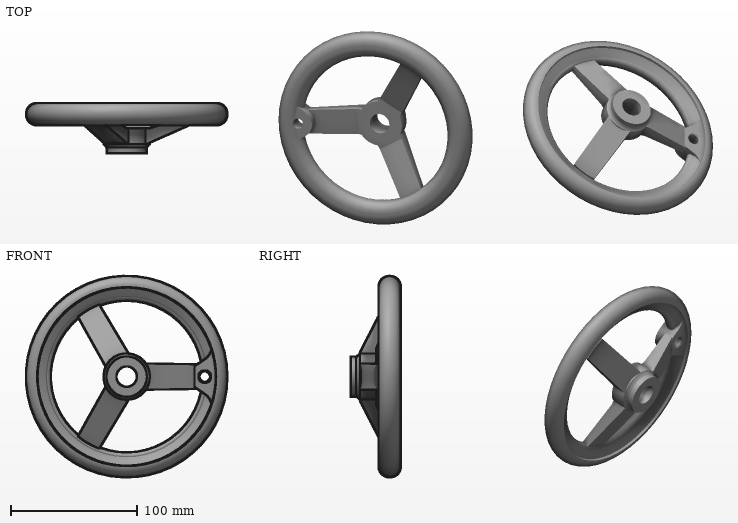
import cadquery as cq
import math


rim_outer_radius = 80.0
rim_inner_radius = 60.0
rim_thickness = 17.9
recess_step = 1.9
recess_wall_inset = 0.5
recess_floor_radius = 63.5
recess_depth = 5.1

overall_depth = 40.0
hub_radius = 18.4
hub_back_y = -20.0
hub_shoulder_y = -32.6
collar_radius = 16.0
collar_length = 4.5
sweep_middle_radius = 16.6
sweep_middle_y = -34.2
bore_diameter = 16.0

spoke_count = 3
spoke_root_width = 21.1
spoke_tip_width = 19.7
spoke_root_radius = 11.2
spoke_tip_radius = 61.1
spoke_front_slope = 0.44
spoke_back_slope = 0.32

handle_radius = 61.9
handle_hole_diameter = 8.3
handle_countersink_diameter = 10.0
boss_radius = 11.5
boss_back_y = -1.3
pad_joint_x = 62.4
pad_joint_half_width = 14.0
pad_tip_half_width = 23.2
pad_start_angle = math.radians(60)
flare_middle_x = 65.9
flare_middle_half_width = 18.2

rim_round = rim_thickness / 2
recess_radius = rim_outer_radius - rim_round
rim_mid_y = -rim_round
recess_floor_y = recess_depth - rim_thickness
pad_y = recess_step - rim_thickness


def make_rim():
    """Ring with rounded edges and a stepped, conical recess in its front inner edge."""
    return (
        cq.Workplane("XY")
        .moveTo(recess_radius, 0)
        .lineTo(rim_inner_radius + rim_round, 0)
        .radiusArc((rim_inner_radius, rim_mid_y), -rim_round)
        .tangentArcPoint((recess_floor_radius, recess_floor_y), relative=False)
        .lineTo(recess_radius - recess_wall_inset, pad_y)
        .lineTo(recess_radius, -rim_thickness)
        .threePointArc((rim_outer_radius, rim_mid_y), (recess_radius, 0))
        .close()
        .revolve(360, (0, 0), (0, 1))
    )


def make_hub():
    """Round hub whose shoulder sweeps in a concave arc to the narrower collar."""
    collar_y = -overall_depth + collar_length
    sweep_middle = (sweep_middle_radius, sweep_middle_y)
    return (
        cq.Workplane("XY")
        .moveTo(0, hub_back_y)
        .lineTo(hub_radius, hub_back_y)
        .lineTo(hub_radius, hub_shoulder_y)
        .threePointArc(sweep_middle, (collar_radius, collar_y))
        .lineTo(collar_radius, -overall_depth)
        .lineTo(0, -overall_depth)
        .close()
        .revolve(360, (0, 0), (0, 1))
    )


def spoke_front_y(radius):
    """Y position of the sloping front face of a spoke at a given radius."""
    return hub_shoulder_y + spoke_front_slope * (radius - collar_radius)


def make_spoke():
    """Spoke along +X: tapered in width, thinning and leaning back towards the rim."""
    def back_y(radius):
        return hub_back_y + spoke_back_slope * (radius - hub_radius)

    side = (
        cq.Workplane("XY")
        .polyline([
            (spoke_root_radius, hub_shoulder_y),
            (collar_radius, hub_shoulder_y),
            (spoke_tip_radius, spoke_front_y(spoke_tip_radius)),
            (spoke_tip_radius, back_y(spoke_tip_radius)),
            (hub_radius, hub_back_y),
            (spoke_root_radius, hub_back_y),
        ])
        .close()
        .extrude(spoke_root_width / 2, both=True)
    )
    width = (
        cq.Workplane("XZ")
        .polyline([
            (spoke_root_radius, -spoke_root_width / 2),
            (spoke_tip_radius, -spoke_tip_width / 2),
            (spoke_tip_radius, spoke_tip_width / 2),
            (spoke_root_radius, spoke_root_width / 2),
        ])
        .close()
        .extrude(overall_depth)
    )
    tip_cylinder = cq.Workplane("XZ").circle(spoke_tip_radius).extrude(overall_depth)
    return side.intersect(width).intersect(tip_cylinder)


def make_handle_boss():
    """Round boss behind the spoke tip, with a pad that flares into the recess."""
    boss = (
        cq.Workplane("XZ")
        .center(handle_radius, 0)
        .circle(boss_radius)
        .extrude(overall_depth)
    )
    boss_inner_x = handle_radius - boss_radius
    boss_outer_x = handle_radius + boss_radius
    spoke_meets_pad_x = collar_radius + (pad_y - hub_shoulder_y) / spoke_front_slope
    boss_side = (
        cq.Workplane("XY")
        .polyline([
            (boss_inner_x, spoke_front_y(boss_inner_x)),
            (spoke_meets_pad_x, pad_y),
            (boss_outer_x, pad_y),
            (boss_outer_x, boss_back_y),
            (boss_inner_x, boss_back_y),
        ])
        .close()
        .extrude(boss_radius, both=True)
    )
    boss = boss.intersect(boss_side)
    tip_x = math.sqrt(recess_radius**2 - pad_tip_half_width**2)
    pad_start_x = handle_radius - boss_radius * math.cos(pad_start_angle)
    pad_start_half_width = boss_radius * math.sin(pad_start_angle)
    pad = (
        cq.Workplane("XZ", origin=(0, boss_back_y, 0))
        .moveTo(pad_start_x, -pad_start_half_width)
        .lineTo(pad_joint_x, -pad_joint_half_width)
        .threePointArc((flare_middle_x, -flare_middle_half_width), (tip_x, -pad_tip_half_width))
        .threePointArc((recess_radius, 0), (tip_x, pad_tip_half_width))
        .threePointArc((flare_middle_x, flare_middle_half_width), (pad_joint_x, pad_joint_half_width))
        .lineTo(pad_start_x, pad_start_half_width)
        .close()
        .extrude(boss_back_y - pad_y)
    )
    return boss.union(pad)


def make_handle_hole():
    """Through hole with a 45 degree countersink at the pad."""
    hole_radius = handle_hole_diameter / 2
    sink_radius = handle_countersink_diameter / 2
    sink_depth = sink_radius - hole_radius
    return (
        cq.Workplane("XY")
        .polyline([
            (0, pad_y),
            (sink_radius, pad_y),
            (hole_radius, pad_y + sink_depth),
            (hole_radius, 0),
            (0, 0),
        ])
        .close()
        .revolve(360, (0, 0), (0, 1))
        .translate((handle_radius, 0, 0))
    )


result = make_rim().union(make_hub())
for index in range(spoke_count):
    angle = 360 / spoke_count * index
    result = result.union(make_spoke().rotate((0, 0, 0), (0, 1, 0), angle))
result = result.union(make_handle_boss()).cut(make_handle_hole())

bore = cq.Workplane("XZ").circle(bore_diameter / 2).extrude(overall_depth)
result = result.cut(bore)